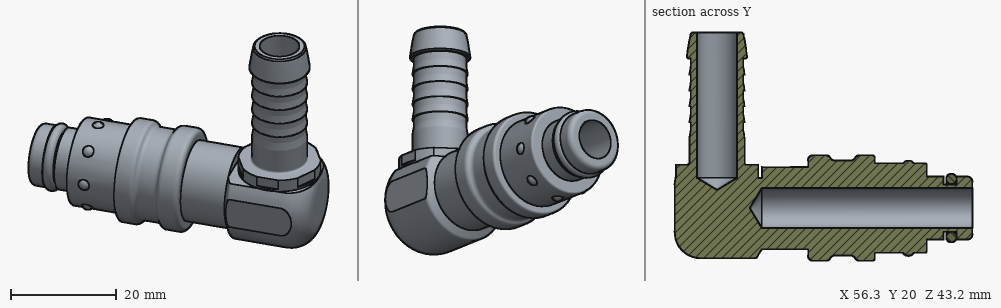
import cadquery as cq
import math


nose_diameter = 11.95
nose_fillet = 1.0
groove_start = 3.0
groove_end = 5.45
groove_diameter = 9.0
sleeve_start = 8.6
sleeve_diameter = 16.95
sleeve_fillet = 0.4

collar_diameter = 20.0
waist_diameter = 18.0
front_collar_start = 18.45
front_collar_fillet = 0.5
waist_start = 23.05
waist_end = 26.0
rear_collar_end = 31.1
blend_radius = 1.0
rear_collar_fillet = 1.0

barrel_diameter = 15.6

ball_count = 8
ball_x = 12.1
ball_radius = 1.25
ball_protrusion = 0.6
ball_phase = 2.5

seal_section_radius = 1.0

elbow_start = 39.8
elbow_end = 56.3
elbow_diameter = 19.0
elbow_width = 18.0
elbow_top = 5.7
elbow_end_fillet = 5.0
elbow_front_angle = 60.0
elbow_front_fillet = 0.8

tail_x = 48.25
flange_diameter = 15.6
flange_across_flats = 15.0
flange_flats_start = 6.2
flange_top = 8.2
tail_diameter = 10.5
tail_root_diameter = 10.0
tail_fillet = 0.4
first_barb = 13.2
barb_count = 5
barb_pitch = 3.0
barb_taper_length = 1.5
head_start = 28.2
head_diameter = 11.5
head_edge = 0.3
head_bulge = 0.06
tail_top = 33.2

bore_diameter = 7.5
drill_point_angle = 118.0
plug_bore_depth = elbow_start
tail_bore_floor = elbow_top


def round_corner(profile, corner, radius, rising):
    """Draw an outer corner arc from wall to cylinder (rising) or from cylinder to wall."""
    x, y = corner
    direction = 1 if rising else -1
    inset = radius * (1 - math.sqrt(0.5))
    on_wall = (x, y - radius)
    on_cylinder = (x + direction * radius, y)
    middle = (x + direction * inset, y - inset)
    start, end = (on_wall, on_cylinder) if rising else (on_cylinder, on_wall)
    return profile.lineTo(*start).threePointArc(middle, end)


def plug_body():
    """Turned plug from the nose to the elbow, with round blends at the waist."""
    nose = nose_diameter / 2
    groove = groove_diameter / 2
    sleeve = sleeve_diameter / 2
    collar = collar_diameter / 2
    waist = waist_diameter / 2
    barrel = barrel_diameter / 2

    step = collar - waist
    blend_length = math.sqrt(step * (4 * blend_radius - step))
    middle_radius = waist + step / 2
    half_blend = blend_length / 2
    half_angle = math.asin(half_blend / blend_radius) / 2
    arc_run = blend_radius * math.sin(half_angle)
    arc_drop = blend_radius * (1 - math.cos(half_angle))

    front_flat_end = waist_start - blend_length
    rear_flat_start = waist_end + blend_length

    profile = cq.Workplane("XY").moveTo(0, 0)
    profile = round_corner(profile, (0, nose), nose_fillet, True)
    profile = (
        profile.lineTo(groove_start, nose)
        .lineTo(groove_start, groove)
        .lineTo(groove_end, groove)
        .lineTo(groove_end, nose)
        .lineTo(sleeve_start, nose)
    )
    profile = round_corner(profile, (sleeve_start, sleeve), sleeve_fillet, True)
    profile = profile.lineTo(front_collar_start, sleeve)
    profile = round_corner(profile, (front_collar_start, collar), front_collar_fillet, True)
    profile = (
        profile.lineTo(front_flat_end, collar)
        .threePointArc(
            (front_flat_end + arc_run, collar - arc_drop),
            (front_flat_end + half_blend, middle_radius),
        )
        .threePointArc((waist_start - arc_run, waist + arc_drop), (waist_start, waist))
        .lineTo(waist_end, waist)
        .threePointArc((waist_end + arc_run, waist + arc_drop), (waist_end + half_blend, middle_radius))
        .threePointArc((rear_flat_start - arc_run, collar - arc_drop), (rear_flat_start, collar))
    )
    profile = round_corner(profile, (rear_collar_end, collar), rear_collar_fillet, False)
    profile = (
        profile.lineTo(rear_collar_end, barrel)
        .lineTo(elbow_start, barrel)
        .lineTo(elbow_start, 0)
        .close()
    )
    return profile.revolve(360, (0, 0, 0), (1, 0, 0))


def retaining_balls():
    """Balls set into the sleeve, evenly spaced and standing slightly proud of it."""
    center_radius = sleeve_diameter / 2 + ball_protrusion - ball_radius
    balls = cq.Workplane("XY")
    for index in range(ball_count):
        angle = math.radians(ball_phase + index * 360 / ball_count)
        center = (ball_x, center_radius * math.sin(angle), center_radius * math.cos(angle))
        balls = balls.add(cq.Workplane("XY").sphere(ball_radius).translate(center))
    return balls


def elbow_block():
    """Round block about the plug axis with two side flats and a flat top."""
    radius = elbow_diameter / 2
    barrel = barrel_diameter / 2

    slope = math.radians(elbow_front_angle)
    arc_start_radius = radius - elbow_front_fillet * (1 - math.cos(slope))
    arc_start_x = elbow_start + (arc_start_radius - barrel) / math.tan(slope)
    arc_end_x = arc_start_x + elbow_front_fillet * math.sin(slope)
    arc_middle = (
        arc_end_x - elbow_front_fillet * math.sin(slope / 2),
        radius - elbow_front_fillet * (1 - math.cos(slope / 2)),
    )
    rounded = (
        cq.Workplane("XY")
        .moveTo(elbow_start, 0)
        .lineTo(elbow_start, barrel)
        .lineTo(arc_start_x, arc_start_radius)
        .threePointArc(arc_middle, (arc_end_x, radius))
        .lineTo(elbow_end, radius)
        .lineTo(elbow_end, 0)
        .close()
        .revolve(360, (0, 0, 0), (1, 0, 0))
        .faces(">X")
        .edges()
        .fillet(elbow_end_fillet)
    )
    envelope = cq.Workplane("XY").box(
        elbow_end - elbow_start, elbow_width, radius + elbow_top, centered=(False, True, False)
    )
    return rounded.intersect(envelope.translate((elbow_start, 0, -radius)))


def flange():
    """Disc on the elbow, with six short wrench flats above its plain lower edge."""
    disc = cq.Workplane("XY").circle(flange_diameter / 2).extrude(flange_top)
    corner_diameter = flange_across_flats / math.cos(math.pi / 6)
    hexagon = cq.Workplane("XY").polygon(6, corner_diameter).extrude(flange_top)
    plain_edge = cq.Workplane("XY").circle(flange_diameter / 2).extrude(flange_flats_start)
    block_below = cq.Workplane("XY").circle(flange_diameter).extrude(elbow_top)
    return disc.intersect(hexagon).union(plain_edge).cut(block_below).translate((tail_x, 0, 0))


def hose_tail():
    """Turned hose tail: plain foot, saw-tooth barbs and a larger rounded head."""
    radius = tail_diameter / 2
    root = tail_root_diameter / 2
    head = head_diameter / 2
    round_inset = tail_fillet * (1 - math.sqrt(0.5))

    profile = (
        cq.Workplane("XZ")
        .moveTo(0, elbow_top)
        .lineTo(radius + tail_fillet, elbow_top)
        .lineTo(radius + tail_fillet, flange_top)
        .threePointArc((radius + round_inset, flange_top + round_inset), (radius, flange_top + tail_fillet))
        .lineTo(radius, first_barb)
    )
    for index in range(barb_count):
        barb = first_barb + index * barb_pitch
        if index > 0:
            profile = profile.lineTo(root, barb).lineTo(radius, barb)
        profile = profile.lineTo(root, barb + barb_taper_length)

    widest = head_start + head_edge
    shoulder = tail_top - head_edge
    profile = (
        profile.lineTo(root, head_start)
        .lineTo(head - head_edge, head_start)
        .lineTo(head, widest)
        .threePointArc(((head + root) / 2 + head_bulge, (widest + shoulder) / 2), (root, shoulder))
        .lineTo(root - head_edge, tail_top)
        .lineTo(0, tail_top)
        .close()
    )
    return profile.revolve(360, (0, 0, 0), (0, 1, 0)).translate((tail_x, 0, 0))


def drill(depth):
    """Blind drilling along +Z from the origin, ending in a cone."""
    radius = bore_diameter / 2
    point_length = radius / math.tan(math.radians(drill_point_angle / 2))
    return (
        cq.Workplane("XZ")
        .polyline([(0, 0), (radius, 0), (radius, depth), (0, depth + point_length)])
        .close()
        .revolve(360, (0, 0, 0), (0, 1, 0))
    )


def fitting_body():
    """Plug, balls, elbow and hose tail as one piece, drilled from both open ends."""
    body = plug_body()
    for ball in retaining_balls().vals():
        body = body.union(cq.Workplane(ball))
    body = body.union(elbow_block()).union(flange()).union(hose_tail())
    plug_bore = drill(plug_bore_depth).rotate((0, 0, 0), (0, 1, 0), 90)
    tail_bore = (
        drill(tail_top - tail_bore_floor)
        .rotate((0, 0, 0), (1, 0, 0), 180)
        .translate((tail_x, 0, tail_top))
    )
    return body.cut(plug_bore).cut(tail_bore).solids()


def seal_ring():
    """Round-section ring resting on the groove floor against its front wall."""
    ring_radius = groove_diameter / 2 + seal_section_radius
    ring_x = groove_start + seal_section_radius
    return (
        cq.Workplane("XY")
        .center(ring_x, ring_radius)
        .circle(seal_section_radius)
        .revolve(360, (0, -ring_radius, 0), (1, -ring_radius, 0))
    )


fitting = fitting_body()
seal = seal_ring()
result = cq.Compound.makeCompound([fitting.val(), seal.val()])